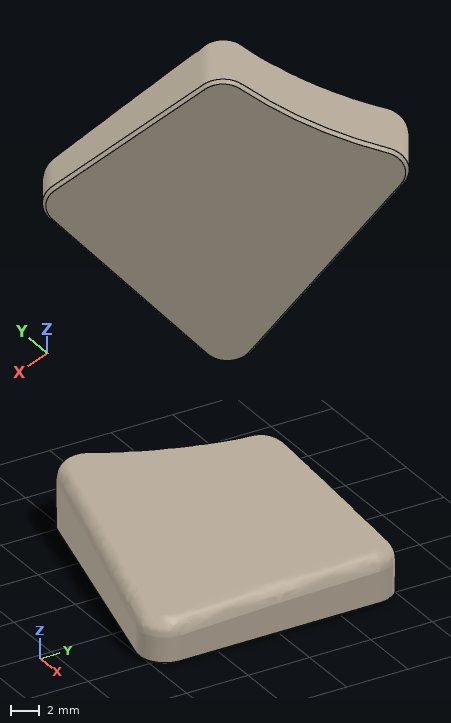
import cadquery as cq
import math

length = 22.25
width = 20.55
corner_radius = 2.125
front_angle = math.radians(14.0)
back_left_x = -4.95
hollow_radius = 30.72

dome_start_height = 5.6
dome_radius = 456.33
top_fillet = 1.5
bottom_chamfer = 0.25

right_x = length / 2 - corner_radius
back_y = width / 2 - corner_radius
back_right = (right_x, back_y)
back_left = (back_left_x, back_y)
front_right = (right_x, -back_y)
front_left = (-right_x, -back_y + 2 * right_x * math.tan(front_angle))


def polar(centre, radius, angle):
    """Point at a radius and angle (radians) around a centre."""
    return (centre[0] + radius * math.cos(angle), centre[1] + radius * math.sin(angle))


def hollow_centre():
    """Centre of the arc that touches both left corner rounds from outside."""
    dx = back_left[0] - front_left[0]
    dy = back_left[1] - front_left[1]
    chord = math.hypot(dx, dy)
    reach = math.sqrt((hollow_radius + corner_radius) ** 2 - (chord / 2) ** 2)
    middle_x = (back_left[0] + front_left[0]) / 2
    middle_y = (back_left[1] + front_left[1]) / 2
    return (middle_x - reach * dy / chord, middle_y + reach * dx / chord)


def outline(hollow):
    """Closed outline on the base plane, counterclockwise from the front side."""
    back_angle = math.atan2(back_left[1] - hollow[1], back_left[0] - hollow[0])
    front_left_angle = math.atan2(front_left[1] - hollow[1], front_left[0] - hollow[0])
    quarter = math.pi / 2
    front_normal = -quarter - front_angle

    corners = [
        (front_right, front_normal, 0.0),
        (back_right, 0.0, quarter),
        (back_left, quarter, math.pi + back_angle),
        (front_left, math.pi + front_left_angle, 2 * math.pi + front_normal),
    ]
    sketch = cq.Workplane("XY").moveTo(*polar(front_left, corner_radius, front_normal))
    for centre, start, end in corners:
        start_point = polar(centre, corner_radius, start)
        middle_point = polar(centre, corner_radius, (start + end) / 2)
        end_point = polar(centre, corner_radius, end)
        if centre == front_left:
            hollow_middle = polar(hollow, hollow_radius, (back_angle + front_left_angle) / 2)
            sketch = sketch.threePointArc(hollow_middle, start_point)
        else:
            sketch = sketch.lineTo(*start_point)
        sketch = sketch.threePointArc(middle_point, end_point)
    return sketch.close()


def dome(hollow):
    """Ball centred on the hollow's axis, passing the hollow wall at its full height."""
    centre_height = dome_start_height - math.sqrt(dome_radius**2 - hollow_radius**2)
    return cq.Workplane("XY").sphere(dome_radius).translate((*hollow, centre_height))


hollow = hollow_centre()
blank = outline(hollow).extrude(2 * dome_start_height)
body = blank.intersect(dome(hollow))
body = body.faces("<Z").edges().chamfer(bottom_chamfer)
result = body.faces(">Z").edges().fillet(top_fillet)